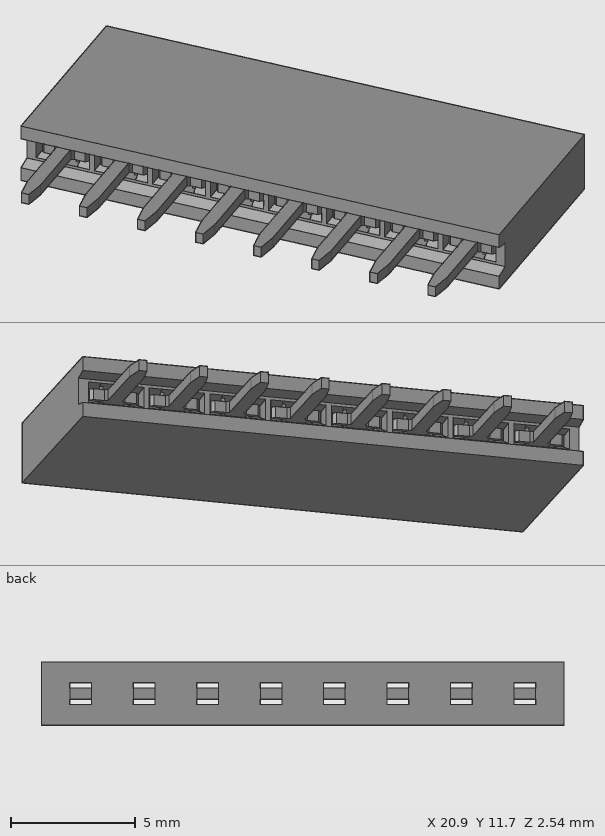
import cadquery as cq

pin_count = 8
pitch = 2.54
housing_length = 20.92
housing_depth = 8.5
housing_height = 2.54
pin_reach = 3.15

groove_depth = 0.6
groove_mouth = 1.35
groove_floor = 1.1

contact_thickness = 0.46
plate_width = 2.06
shoulder_width = 1.8
gusset_width = 0.86
pin_width = 0.6
tip_width = 0.33
tip_length = 0.87
shoulder_slope = 0.13
gusset_height = 0.055
contact_recess = 0.12
plate_length = 2.0

cell_width = 2.32
cell_height = 0.86
cell_depth = 0.36
window_width = 0.86
tab_width = 0.2

groove_y = groove_depth
cell_end_y = groove_y + cell_depth
gusset_y = groove_y + contact_recess
shoulder_y = gusset_y + gusset_height
plate_end_y = shoulder_y + plate_length
middle_width = window_width + 2 * tab_width
pin_places = [((i - (pin_count - 1) / 2) * pitch, 0) for i in range(pin_count)]


def block(width, height, start_y, end_y):
    """Box centred on the X-Z axes, running from start_y to end_y."""
    depth = end_y - start_y
    return cq.Workplane("XY").box(width, depth, height).translate((0, start_y + depth / 2, 0))


def make_housing():
    outline = [
        (0, groove_mouth / 2),
        (0, housing_height / 2),
        (housing_depth, housing_height / 2),
        (housing_depth, -housing_height / 2),
        (0, -housing_height / 2),
        (0, -groove_mouth / 2),
        (groove_y, -groove_floor / 2),
        (groove_y, groove_floor / 2),
    ]
    return cq.Workplane("YZ").polyline(outline).close().extrude(housing_length / 2, both=True)


def make_cell():
    """Material to remove for one contact: entry and window."""
    funnel = (
        cq.Workplane("XZ", origin=(0, groove_y, 0))
        .rect(cell_width, cell_height)
        .workplane(offset=-cell_depth)
        .rect(plate_width, contact_thickness)
        .loft(combine=True)
    )
    straight_middle = block(middle_width, cell_height, groove_y, cell_end_y)
    window = block(window_width, cell_height, groove_y, housing_depth)
    return funnel.union(straight_middle).union(window)


def make_contact():
    right_side = [
        (tip_width / 2, -pin_reach),
        (pin_width / 2, -pin_reach + tip_length),
        (pin_width / 2, gusset_y),
        (gusset_width / 2, shoulder_y),
        (shoulder_width / 2, shoulder_y),
        (plate_width / 2, shoulder_y + shoulder_slope),
        (plate_width / 2, plate_end_y),
    ]
    left_side = [(-x, y) for x, y in reversed(right_side)]
    profile = cq.Workplane("XY").polyline(right_side + left_side).close()
    return profile.extrude(contact_thickness / 2, both=True)


def at_every_pin(shape):
    return cq.Workplane("XY").pushPoints(pin_places).eachpoint(lambda place: shape.val().moved(place))


result = make_housing().cut(at_every_pin(make_cell())).union(at_every_pin(make_contact()))